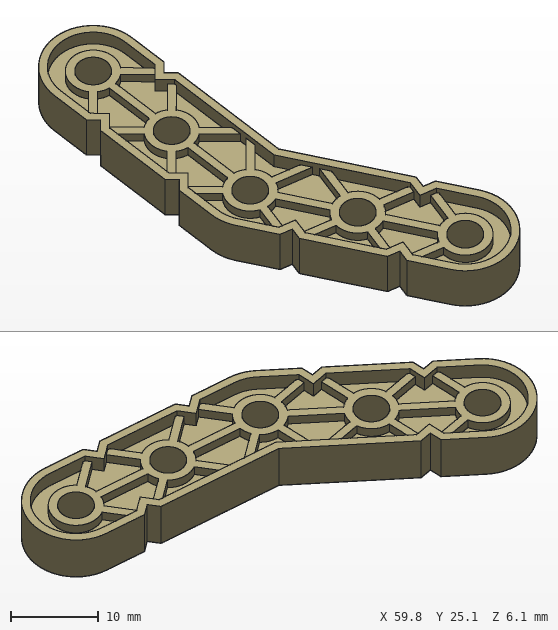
import cadquery as cq
import math

length = 59.8
height = 6.1
end_radius = 6.2
bend_angle = 30.0
spaces_per_arm = 2
bend_cos = math.cos(math.radians(bend_angle))
pitch = (length - 2 * end_radius) / (spaces_per_arm * (1 + bend_cos))
arm_length = spaces_per_arm * pitch

wall = 1.0
pocket_depth = 2.05
rib_drop = 0.8
floor_z = height - pocket_depth
rib_top_z = height - rib_drop
hub_radius = 3.15
hole_radius = 2.1

spine_width = 1.0
brace_width = 1.0
brace_angle = 45.0

notch_depth = 1.15
notch_tilt = 45.0

ARMS = [(0.0, 1), (180.0 - bend_angle, -1)]


def on_arm(shape, direction):
    """Turn a shape drawn along +X so that it lies along an arm."""
    return shape.rotate((0, 0, 0), (0, 0, 1), direction)


def joined(shapes):
    """Fuse a list of shapes into one."""
    whole = shapes[0]
    for shape in shapes[1:]:
        whole = whole.union(shape)
    return whole


def notch_places(inside):
    """Places along an arm and across it; the inside edge has no notch next to the bend."""
    places = []
    for space in range(spaces_per_arm):
        along = (space + 0.5) * pitch
        places.append((along, -inside * end_radius))
        if space > 0:
            places.append((along, inside * end_radius))
    return places


def notched_body(inset, bottom, top):
    """Bent beam with its whole outline moved inward by the inset, between two heights."""
    radius = end_radius - inset
    notch_side = math.sqrt(2) * notch_depth + 2 * inset
    arms = []
    notches = []
    for direction, inside in ARMS:
        arm = (
            cq.Workplane("XY")
            .workplane(offset=bottom)
            .center(arm_length / 2, 0)
            .slot2D(arm_length + 2 * radius, 2 * radius)
            .extrude(top - bottom)
        )
        arms.append(on_arm(arm, direction))
        for along, across in notch_places(inside):
            notch = (
                cq.Workplane("XY")
                .rect(notch_side, notch_side)
                .extrude(height)
                .rotate((0, 0, 0), (0, 0, 1), notch_tilt)
                .translate((along, across, 0))
            )
            notches.append(on_arm(notch, direction))
    return joined(arms).cut(joined(notches))


def bar(start, angle, bar_length, width):
    """Rib standing on the floor, from a point on an arm's axis outward at an angle."""
    return (
        cq.Workplane("XY")
        .box(bar_length, width, rib_top_z - floor_z, centered=(False, True, False))
        .rotate((0, 0, 0), (0, 0, 1), angle)
        .translate((start, 0, floor_z))
    )


def rib_web():
    """One spine and four braces in every space between neighbouring hubs."""
    brace_length = 2 * end_radius
    ribs = []
    for direction, _ in ARMS:
        for space in range(spaces_per_arm):
            near = space * pitch
            far = near + pitch
            space_ribs = [bar(near, 0, pitch, spine_width)]
            for angle in (brace_angle, -brace_angle):
                space_ribs.append(bar(near, angle, brace_length, brace_width))
                space_ribs.append(bar(far, 180 + angle, brace_length, brace_width))
            ribs += [on_arm(rib, direction) for rib in space_ribs]
    return joined(ribs)


def hole_cylinders(radius, bottom, top):
    """A cylinder on every hole of the beam."""
    cylinders = []
    for direction, _ in ARMS:
        for hole in range(spaces_per_arm + 1):
            cylinder = (
                cq.Workplane("XY")
                .workplane(offset=bottom)
                .center(hole * pitch, 0)
                .circle(radius)
                .extrude(top - bottom)
            )
            cylinders.append(on_arm(cylinder, direction))
    return joined(cylinders)


pocket = notched_body(wall, floor_z, height)
hubs = hole_cylinders(hub_radius, floor_z, rib_top_z)
pocket_filling = rib_web().union(hubs).intersect(pocket)

result = (
    notched_body(0, 0, height)
    .cut(pocket)
    .union(pocket_filling)
    .cut(hole_cylinders(hole_radius, 0, height))
    .clean()
)